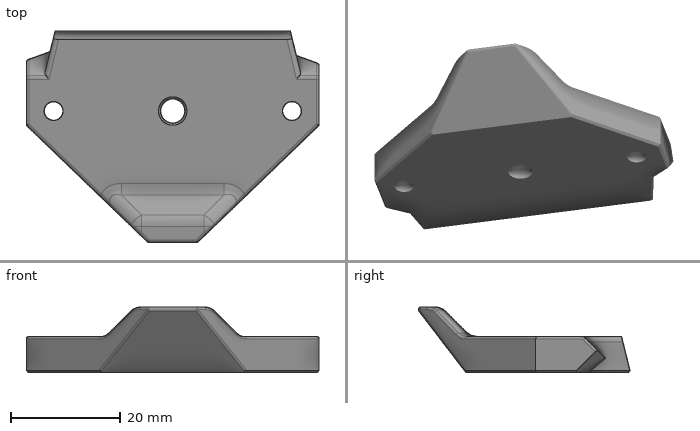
import cadquery as cq
import math

half_width = 53.59 / 2
length = 38.7
horn_height = 12.0

edge_round = 0.5
notch_round = 1.0
horn_round = 3.0
bottom_chamfer = 0.4

plate_height = 6.6
rear_y = 14.65
rear_lean = math.radians(14)
shoulder_y = -2.6
diagonal_angle = math.radians(43.9)

nose_lean = math.radians(37.5)
horn_top_half_width = 6.95
horn_top_rear_y = -19.9

slope_top_y = 6.2
wall_rear_x = 21.5
wall_angle = math.radians(13.6)
left_ear_end_y = 9.3
right_ear_end_y = 8.65
ear_end_angle = math.radians(27)

centre_hole_diameter = 4.4
centre_hole_chamfer = 0.4
side_hole_diameter = 3.4
side_hole_x = 21.8

slope_degrees = 45
margin = 20.0
tolerance = 1e-3

sharp_rear_y = rear_y + bottom_chamfer * math.sin(rear_lean)
nose_edge_angle = math.pi / 2 - nose_lean
nose_loss = edge_round * (1 / math.tan(nose_edge_angle / 2) - 1)
sharp_nose_y = rear_y - length - nose_loss
toe_y = sharp_nose_y + horn_height * math.tan(nose_lean)
nose_half_width = half_width - (shoulder_y - sharp_nose_y) / math.tan(diagonal_angle)


def edges_where(body, wanted):
    """Edges of the body that satisfy the condition."""
    return body.newObject([edge for edge in body.edges().vals() if wanted(edge)])


def lies_on(edge, surface_test):
    """True if both ends of the edge satisfy the point test."""
    return surface_test(edge.startPoint()) and surface_test(edge.endPoint())


def rounded_blank():
    """Oversized plate carrying a whole frustum centred on the nose, of which the rear is the horn."""
    rise = horn_height - plate_height
    foot_half_width = horn_top_half_width + rise
    foot_half_length = horn_top_rear_y + rise - sharp_nose_y

    def is_horn_edge(edge):
        at_or_above_plate_top = edge.Center().z > plate_height - tolerance
        around_horn = lies_on(edge, lambda p: abs(p.x) < foot_half_width + tolerance)
        return at_or_above_plate_top and around_horn

    frustum = (
        cq.Workplane("XY", origin=(0, sharp_nose_y, plate_height))
        .rect(2 * foot_half_width, 2 * foot_half_length)
        .extrude(rise, taper=slope_degrees)
    )
    plate = (
        cq.Workplane("XY")
        .rect(2 * (half_width + margin), 2 * (length + margin))
        .extrude(plate_height)
    )
    blank = plate.union(frustum)
    return edges_where(blank, is_horn_edge).fillet(horn_round)


def plan_prism():
    """The plan outline without its notches, full height."""
    return (
        cq.Workplane("XY")
        .moveTo(-half_width, sharp_rear_y)
        .lineTo(-half_width, shoulder_y)
        .lineTo(-nose_half_width, sharp_nose_y)
        .lineTo(nose_half_width, sharp_nose_y)
        .lineTo(half_width, shoulder_y)
        .lineTo(half_width, sharp_rear_y)
        .close()
        .extrude(horn_height)
    )


def outline_solid():
    """Everything inside the plan outline, the leaning rear face and the sloping nose."""
    profile = (
        cq.Workplane("YZ")
        .moveTo(sharp_rear_y, 0)
        .lineTo(sharp_rear_y - horn_height * math.tan(rear_lean), horn_height)
        .lineTo(sharp_nose_y, horn_height)
        .lineTo(toe_y, 0)
        .close()
        .extrude(half_width, both=True)
    )
    return plan_prism().intersect(profile)


def ear_block(ear_end_y):
    """Block under the +X ear's slope, cut off square to the slope by the skewed end face."""
    slope = cq.Plane(
        origin=(0, slope_top_y, plate_height), xDir=(1, 0, 0), normal=(0, 1, 1)
    )
    outer_end = (ear_end_y - slope_top_y) * math.sqrt(2)
    inner_end = outer_end + half_width * math.tan(ear_end_angle)
    return (
        cq.Workplane(slope)
        .moveTo(0, -margin)
        .lineTo(half_width, -margin)
        .lineTo(half_width, outer_end)
        .lineTo(0, inner_end)
        .close()
        .extrude(-margin)
    )


def corner_notch(ear_end_y):
    """Cutter on the +X side: all that lies outside the notch wall, except the ear."""
    wall_front_x = wall_rear_x + sharp_rear_y * math.tan(wall_angle)
    outside_wall = (
        cq.Workplane("XY")
        .moveTo(wall_rear_x, sharp_rear_y)
        .lineTo(half_width, sharp_rear_y)
        .lineTo(half_width, 0)
        .lineTo(wall_front_x, 0)
        .close()
        .extrude(plate_height)
    )
    return outside_wall.cut(ear_block(ear_end_y))


def on_side(p):
    return abs(abs(p.x) - half_width) < tolerance


def on_diagonal(p):
    line_y = shoulder_y - (half_width - abs(p.x)) * math.tan(diagonal_angle)
    return abs(p.y - line_y) < tolerance


def on_nose(p):
    return abs(p.y - toe_y + p.z * math.tan(nose_lean)) < tolerance


def on_rear(p):
    return abs(p.y - sharp_rear_y + p.z * math.tan(rear_lean)) < tolerance


def on_bottom(p):
    return p.z < tolerance


def on_notch_wall(p):
    line_x = wall_rear_x + (sharp_rear_y - p.y) * math.tan(wall_angle)
    return abs(abs(p.x) - line_x) < tolerance


def is_notch_top(edge):
    """Top edges of the notch walls and of the ears' slopes."""
    behind_slope_top = lies_on(
        edge, lambda p: p.z > plate_height - tolerance and p.y > slope_top_y - tolerance
    )
    return behind_slope_top and not lies_on(edge, on_rear)


def is_rear_bottom(edge):
    """Underside edges of the rear face and the notch walls."""
    return lies_on(edge, on_bottom) and (lies_on(edge, on_rear) or lies_on(edge, on_notch_wall))


def is_side_bottom(edge):
    """Underside edges of the sides and the diagonals."""
    return lies_on(edge, on_bottom) and (lies_on(edge, on_side) or lies_on(edge, on_diagonal))


def is_upper_rim(edge):
    """Top edges of the sides, ears and diagonals, and the nose face's edges above the toe."""
    raised = lies_on(edge, lambda p: p.z > plate_height / 2)
    beside = lies_on(edge, on_side) or lies_on(edge, on_diagonal)
    return (raised and beside) or (lies_on(edge, on_nose) and not lies_on(edge, on_bottom))


def drill_holes(body):
    """Two side holes, and a centre hole chamfered at the top."""
    top_plane = cq.Workplane("XY", origin=(0, 0, plate_height))
    side_holes = (
        top_plane.pushPoints([(-side_hole_x, 0), (side_hole_x, 0)])
        .circle(side_hole_diameter / 2)
        .extrude(-plate_height)
    )
    centre_hole = top_plane.circle(centre_hole_diameter / 2).extrude(-plate_height)
    countersink = (
        top_plane.circle(centre_hole_diameter / 2 + centre_hole_chamfer)
        .extrude(-centre_hole_chamfer, taper=slope_degrees)
    )
    return body.cut(side_holes).cut(centre_hole).cut(countersink)


body = rounded_blank().intersect(outline_solid())
body = body.cut(corner_notch(right_ear_end_y))
body = body.cut(corner_notch(left_ear_end_y).mirror("YZ"))
body = edges_where(body, is_notch_top).fillet(notch_round)
body = edges_where(body, is_rear_bottom).chamfer(bottom_chamfer)
body = edges_where(body, is_upper_rim).fillet(edge_round)
underside_trim = edges_where(plan_prism(), is_side_bottom).chamfer(bottom_chamfer)
body = body.intersect(underside_trim)
result = drill_holes(body)